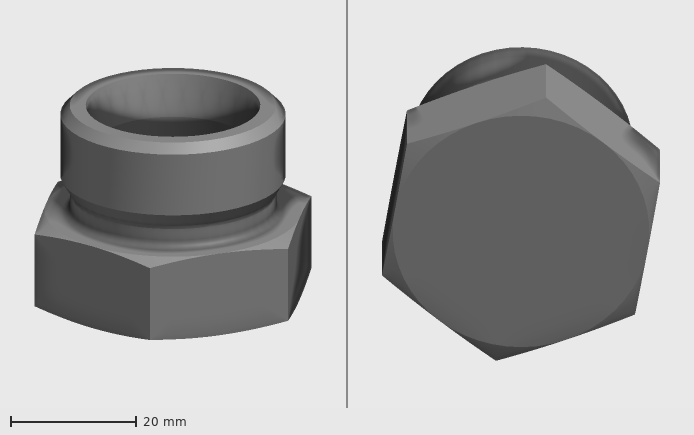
import cadquery as cq
import math

sides = 6
across_flats = 41.0
hex_height = 14.0
hex_chamfer_angle = 15.0
hex_face_diameter = across_flats

total_height = 32.0
spigot_diameter = 36.0
rim_chamfer = 1.5
neck_diameter = 33.0
neck_length = 3.5
taper_angle = 30.0
neck_fillet = 1.2

bore_diameter = 25.0
bore_depth = 12.0
cone_mouth_diameter = 27.9
cone_angle = 24.0
hole_diameter = 20.0
hole_depth = 20.0
drill_tip_angle = 120.0


def rise(radial_step, angle):
    """Axial length of a cone covering radial_step at angle degrees from the axis."""
    return radial_step / math.tan(math.radians(angle))


def revolve_profile(points):
    """Solid of revolution about Z from (radius, z) points."""
    return cq.Workplane("XZ").polyline(points).close().revolve(360, (0, 0), (0, 1))


def neck_edge_at(z):
    """Selector for the circular neck edge lying at height z."""
    margin = 0.1
    reach = neck_diameter / 2 + margin
    return cq.selectors.BoxSelector(
        (-reach, -reach, z - margin),
        (reach, reach, z + margin),
        boundingbox=True,
    )


def make_hexagon():
    """Hexagonal prism, corners on the Y axis, with both ends turned to a shallow cone."""
    half_sector = 360 / sides / 2
    corner_diameter = across_flats / math.cos(math.radians(half_sector))
    prism = (
        cq.Workplane("XY")
        .polygon(sides, corner_diameter)
        .extrude(hex_height)
        .rotate((0, 0, 0), (0, 0, 1), half_sector)
    )
    face_radius = hex_face_diameter / 2
    outer_radius = corner_diameter
    drop = (outer_radius - face_radius) * math.tan(math.radians(hex_chamfer_angle))
    turned_envelope = revolve_profile([
        (0, 0),
        (face_radius, 0),
        (outer_radius, drop),
        (outer_radius, hex_height - drop),
        (face_radius, hex_height),
        (0, hex_height),
    ])
    return prism.intersect(turned_envelope)


def make_spigot():
    """Turned spigot with a chamfered rim and a tapered, undercut neck."""
    spigot_radius = spigot_diameter / 2
    neck_radius = neck_diameter / 2
    taper_bottom_z = hex_height + neck_length
    taper_top_z = taper_bottom_z + rise(spigot_radius - neck_radius, taper_angle)
    spigot = revolve_profile([
        (0, hex_height),
        (neck_radius, hex_height),
        (neck_radius, taper_bottom_z),
        (spigot_radius, taper_top_z),
        (spigot_radius, total_height - rim_chamfer),
        (spigot_radius - rim_chamfer, total_height),
        (0, total_height),
    ])
    return spigot.edges(neck_edge_at(taper_bottom_z)).fillet(neck_fillet)


def fillet_neck_root(body):
    """Round the corner where the neck meets the top of the hexagon."""
    return body.edges(neck_edge_at(hex_height)).fillet(neck_fillet)


def make_bore():
    """Sealing cone, straight bore and drilled hole with a conical tip."""
    mouth_radius = cone_mouth_diameter / 2
    bore_radius = bore_diameter / 2
    hole_radius = hole_diameter / 2
    cone_bottom_z = total_height - rise(mouth_radius - bore_radius, cone_angle / 2)
    bore_bottom_z = total_height - bore_depth
    hole_bottom_z = total_height - hole_depth
    tip_z = hole_bottom_z - rise(hole_radius, drill_tip_angle / 2)
    return revolve_profile([
        (0, tip_z),
        (hole_radius, hole_bottom_z),
        (hole_radius, bore_bottom_z),
        (bore_radius, bore_bottom_z),
        (bore_radius, cone_bottom_z),
        (mouth_radius, total_height),
        (0, total_height),
    ])


body = make_hexagon().union(make_spigot())
result = fillet_neck_root(body).cut(make_bore())